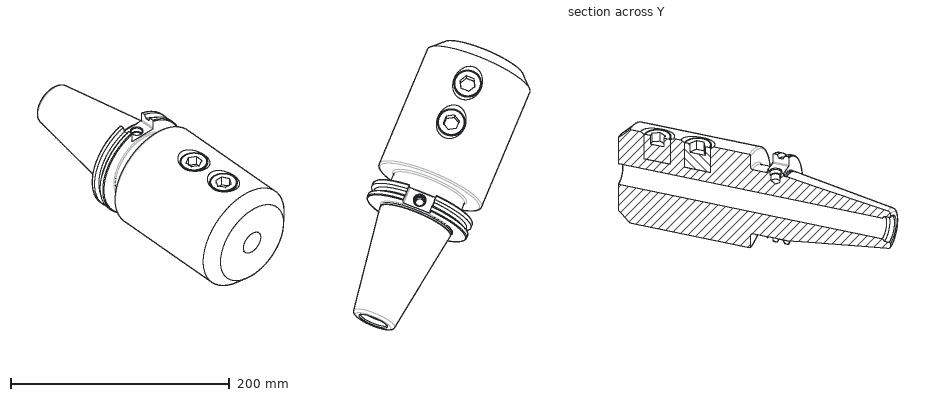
import cadquery as cq
import math


total_length = 266.7
taper_length = 101.5
relief_start = 102.1
flange_start = 104.8
flange_end = 120.5
body_start = 136.8

body_diameter = 101.5
flange_diameter = 98.5
gauge_diameter = 70.0
relief_diameter = 69.3

taper_ratio = 7 / 24
tip_fillet = 3.0
flange_chamfer = 0.8
flange_corner_fillet = 1.0
body_fillet = 1.5
body_chamfer = 11.2

bore_diameter = 22.0
entry_diameter = 26.5
entry_mouth_diameter = 28.0
entry_mouth_depth = 1.3
entry_depth = 6.0

groove_centre = 112.5
groove_floor_width = 3.5
groove_floor_diameter = 91.5
groove_flank_angle = 30.0

slot_width = 26.7
slot_corner_fillet = 0.8
upper_slot_floor = 37.5
lower_slot_floor = 34.7

thread_diameter = 10.1
thread_mouth_diameter = 11.7
thread_depth = 4.8
drill_diameter = 8.0
drill_depth = 10.7
drill_tip_angle = 118.0

screw_positions = (189.0, 228.5)
socket_turns = (0.0, 30.0)
screw_diameter = 25.3
screw_face_diameter = 23.5
screw_top = 49.0
screw_length = 26.7
socket_across_flats = 12.8
socket_depth = 9.3
sink_diameter = 32.5
sink_angle = 120.0

body_radius = body_diameter / 2
flange_radius = flange_diameter / 2
neck_radius = gauge_diameter / 2
relief_radius = relief_diameter / 2
tip_radius = neck_radius - taper_length * taper_ratio / 2
flange_centre = (flange_start + flange_end) / 2
screw_radius = screw_diameter / 2
sink_radius = sink_diameter / 2
sink_depth = (sink_radius - screw_radius) / math.tan(math.radians(sink_angle / 2))
screw_chamfer = (screw_diameter - screw_face_diameter) / 2
sink_floor = body_radius - sink_depth
screw_bottom = screw_top - screw_length


def revolve_about_x(points):
    """Solid swept by a closed outline of (x, radius) points around the X axis."""
    return cq.Workplane("XY").polyline(points).close().revolve(360, (0, 0, 0), (1, 0, 0))


def revolve_about_vertical(points, x, z):
    """Solid swept by a closed outline of (radius, height) points around the vertical line at x."""
    outline = cq.Workplane("XZ", origin=(x, 0, z)).polyline(points).close()
    return outline.revolve(360, (0, 0, 0), (0, 1, 0))


def fillet_ring(solid, x, ring_radius, fillet_radius):
    """Round the circular edge of the given radius at station x."""
    def is_ring(edge):
        same_place = abs(edge.Center().x - x) < 0.0003
        return same_place and edge.geomType() == "CIRCLE" and abs(edge.radius() - ring_radius) < 0.0003

    rings = [edge for edge in solid.edges().vals() if is_ring(edge)]
    return solid.newObject(rings).fillet(fillet_radius)


def turned_blank():
    """Taper, flange, neck and body before any cut."""
    blank = revolve_about_x([
        (0, 0),
        (0, tip_radius),
        (taper_length, neck_radius),
        (relief_start, relief_radius),
        (flange_start, relief_radius),
        (flange_start, flange_radius - flange_chamfer),
        (flange_start + flange_chamfer, flange_radius),
        (flange_end - flange_chamfer, flange_radius),
        (flange_end, flange_radius - flange_chamfer),
        (flange_end, neck_radius),
        (body_start, neck_radius),
        (body_start, body_radius),
        (total_length - body_chamfer, body_radius),
        (total_length, body_radius - body_chamfer),
        (total_length, 0),
    ])
    blank = fillet_ring(blank, 0, tip_radius, tip_fillet)
    blank = fillet_ring(blank, flange_start, relief_radius, flange_corner_fillet)
    blank = fillet_ring(blank, flange_end, neck_radius, flange_corner_fillet)
    blank = fillet_ring(blank, body_start, neck_radius, body_fillet)
    return fillet_ring(blank, body_start, body_radius, body_fillet)


def rim_groove():
    """Ring that cuts the V-groove into the flange rim."""
    floor_radius = groove_floor_diameter / 2
    half_floor = groove_floor_width / 2
    flank_run = (flange_radius - floor_radius) * math.tan(math.radians(groove_flank_angle))
    half_mouth = half_floor + flank_run
    return revolve_about_x([
        (groove_centre - half_floor, floor_radius),
        (groove_centre - half_mouth, flange_radius),
        (groove_centre + half_mouth, flange_radius),
        (groove_centre + half_floor, floor_radius),
    ])


def drive_slot(floor_height, direction):
    """Block that cuts one drive slot from its floor outwards; direction is 1 for up, -1 for down."""
    flange_width = flange_end - flange_start
    slot_depth = flange_radius - floor_height
    base = cq.Workplane("XY", origin=(flange_centre, 0, direction * floor_height))
    block = base.rect(flange_width, slot_width).extrude(direction * slot_depth)
    floor_side = "<Z" if direction > 0 else ">Z"
    return block.faces(floor_side).edges("|X").fillet(slot_corner_fillet)


def slot_hole():
    """Threaded hole with a chamfered mouth, a smaller drilled end and a conical tip."""
    thread_radius = thread_diameter / 2
    mouth_radius = thread_mouth_diameter / 2
    drill_radius = drill_diameter / 2
    tip_depth = drill_radius / math.tan(math.radians(drill_tip_angle / 2))
    return revolve_about_vertical([
        (0, 0),
        (mouth_radius, 0),
        (thread_radius, thread_radius - mouth_radius),
        (thread_radius, -thread_depth),
        (drill_radius, -thread_depth),
        (drill_radius, -drill_depth),
        (0, -drill_depth - tip_depth),
    ], flange_centre, upper_slot_floor)


def axial_bore():
    """Through bore with a chamfered entry that narrows to it at 45 degrees."""
    bore_radius = bore_diameter / 2
    entry_radius = entry_diameter / 2
    return revolve_about_x([
        (0, 0),
        (0, entry_mouth_diameter / 2),
        (entry_mouth_depth, entry_radius),
        (entry_depth, entry_radius),
        (entry_depth + entry_radius - bore_radius, bore_radius),
        (total_length, bore_radius),
        (total_length, 0),
    ])


def screw_hole(x):
    """Blind hole that fits a clamping screw, countersunk at the top of the body."""
    return revolve_about_vertical([
        (0, screw_bottom),
        (screw_radius, screw_bottom),
        (screw_radius, sink_floor),
        (sink_radius, body_radius),
        (0, body_radius),
    ], x, 0)


def make_holder():
    holder = turned_blank()
    holder = holder.cut(rim_groove())
    holder = holder.cut(drive_slot(upper_slot_floor, 1))
    holder = holder.cut(drive_slot(lower_slot_floor, -1))
    holder = holder.cut(slot_hole())
    holder = holder.cut(axial_bore())
    for x in screw_positions:
        holder = holder.cut(screw_hole(x))
    return holder


def make_screw(x, socket_turn):
    """Headless screw with a hexagon socket; a turn of 0 puts two socket corners along X."""
    across_corners = socket_across_flats / math.cos(math.pi / 6)
    screw = cq.Workplane("XY", origin=(x, 0, screw_bottom)).circle(screw_radius).extrude(screw_length)
    screw = screw.faces(">Z").chamfer(screw_chamfer)
    socket_plane = cq.Workplane("XY", origin=(x, 0, screw_top)).transformed(rotate=(0, 0, socket_turn))
    return screw.cut(socket_plane.polygon(6, across_corners).extrude(-socket_depth))


holder = make_holder()
screws = [make_screw(x, turn) for x, turn in zip(screw_positions, socket_turns)]

result = cq.Compound.makeCompound([holder.val(), *[screw.val() for screw in screws]])